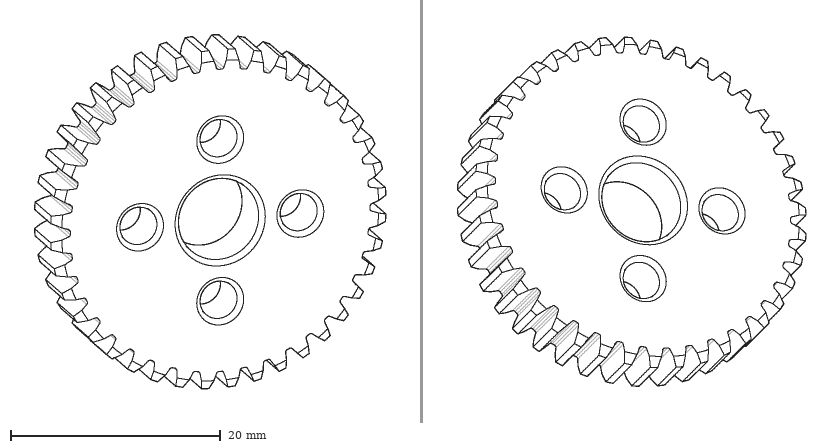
import cadquery as cq
import math

overall_height = 33.53
width = 6.35

tooth_count = 40
root_height = 15.0
root_gap_width = 0.6
flank_angle = 20
root_fillet = 0.25

tip_height = overall_height / 2
flank_slope = math.tan(math.radians(flank_angle))
tip_gap_width = root_gap_width + 2 * flank_slope * (tip_height - root_height)
tip_radius = math.hypot(tip_height, tip_gap_width / 2)

bevel_radial = 0.95
bevel_axial = 0.57

bore_diameter = 8.0
bolt_hole_count = 4
bolt_hole_diameter = 3.7
bolt_circle_radius = 8.0
hole_chamfer = 0.5


def make_round_body(middle_radius, face_radius, taper_length):
    """Solid about X, centred on the origin, tapering to face_radius at both ends."""
    half_width = width / 2
    profile = [
        (-half_width, 0),
        (-half_width, face_radius),
        (-half_width + taper_length, middle_radius),
        (half_width - taper_length, middle_radius),
        (half_width, face_radius),
        (half_width, 0),
    ]
    return cq.Workplane("XY").polyline(profile).close().revolve(360, (0, 0, 0), (1, 0, 0))


def make_bevelled_blank():
    """Plain disc with both rims bevelled."""
    return make_round_body(tip_radius, tip_radius - bevel_radial, bevel_axial)


def make_tooth_gap():
    """Straight-flanked cutter for the gap centred on +Z, rounded at its root."""
    overshoot = 0.35
    root_half = root_gap_width / 2
    outer_half = tip_gap_width / 2 + flank_slope * overshoot
    outer_height = tip_height + overshoot
    outline = [
        (-root_half, root_height),
        (root_half, root_height),
        (outer_half, outer_height),
        (-outer_half, outer_height),
    ]
    face = cq.Workplane("YZ", origin=(-width / 2, 0, 0)).polyline(outline).close()
    return face.extrude(width).edges("|X").edges("<Z").fillet(root_fillet)


def make_chamfered_hole(diameter):
    """Through-hole cutter along X, flared at 45 degrees at both faces."""
    radius = diameter / 2
    return make_round_body(radius, radius + hole_chamfer, hole_chamfer)


def repeat_about_axis(cutter, count):
    """Evenly spaced copies of a cutter around X, the first one at its own place."""
    copies = [cutter.rotate((0, 0, 0), (1, 0, 0), 360 / count * i).val() for i in range(count)]
    return cq.Workplane(cq.Compound.makeCompound(copies))


bolt_hole = make_chamfered_hole(bolt_hole_diameter).translate((0, 0, bolt_circle_radius))

result = (
    make_bevelled_blank()
    .cut(repeat_about_axis(make_tooth_gap(), tooth_count))
    .cut(make_chamfered_hole(bore_diameter))
    .cut(repeat_about_axis(bolt_hole, bolt_hole_count))
)